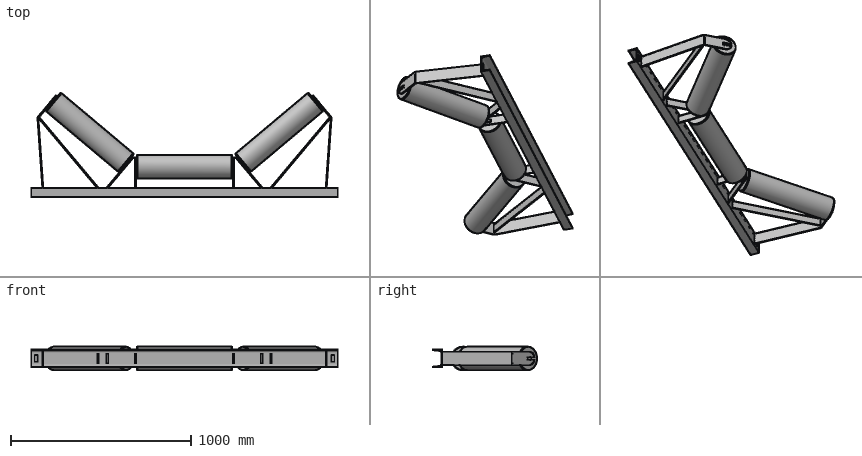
import cadquery as cq
import math

CHANNEL_LENGTH = 1700.0
CHANNEL_HEIGHT = 100.0
CHANNEL_DEPTH = 51.0
WEB_THICKNESS = 5.0
FLANGE_TOE = 5.0
FLANGE_ROOT = 10.0
ROOT_RADIUS = 8.0
MOUNT_SLOT_WIDTH = 15.0
MOUNT_SLOT_HEIGHT = 35.0
MOUNT_SLOT_INSET = 29.0

ROLLER_DIAMETER = 133.0
ROLLER_LENGTH = 530.0
RIM_TAPER_LENGTH = 7.0
RIM_TAPER_DEPTH = 2.5
SHAFT_DIAMETER = 25.0
SHAFT_FLAT_WIDTH = 15.0
END_GAP = 3.0
TROUGH_ANGLE = 40.0
CENTRE_ROLLER_Y = 168.0
WING_ROLLER_X = 525.0
WING_ROLLER_Y = 359.0

BAR_THICKNESS = 7.0
OUTER_BRACKET_WIDTH = 75.0
INNER_BRACKET_WIDTH = 51.0
BEND_RADIUS = 20.0
BEND_BELOW_SHAFT = 124.0
OUTER_FOOT_X = 789.0
INNER_TOP_Y = 221.0
BRACE_WIDTH = 51.0
BRACE_FOOT_X = 476.0

PLATE_FACE = ROLLER_LENGTH / 2 + END_GAP
SHAFT_END = PLATE_FACE + BAR_THICKNESS

tilt = math.radians(TROUGH_ANGLE)
wing_centre = cq.Vector(-WING_ROLLER_X, WING_ROLLER_Y)
along_axis = cq.Vector(math.cos(tilt), -math.sin(tilt))
up_plate = cq.Vector(math.sin(tilt), math.cos(tilt))

web_face = (cq.Vector(0, CHANNEL_DEPTH), cq.Vector(1, 0))
plate_outside = (wing_centre - along_axis * SHAFT_END, up_plate)
bend_point = plate_outside[0] - up_plate * BEND_BELOW_SHAFT


def crossing(line_a, line_b):
    """Point where two lines in XY meet; each line is a (point, direction) pair."""
    (start, a), (other, b) = line_a, line_b
    gap = other - start
    return start + a * ((gap.x * b.y - gap.y * b.x) / (a.x * b.y - a.y * b.x))


def corners(lines):
    """Points where each line of a list meets the next one."""
    return [crossing(a, b) for a, b in zip(lines, lines[1:])]


def bar_solid(start_cut, faces, end_cut, width):
    """Flat bar, bent where its face lines cross and trimmed by a line at each end.

    The face lines are (point, direction) pairs; the thickness lies to the right of each direction.
    """
    backs = [
        (point + cq.Vector(d.y, -d.x).normalized() * BAR_THICKNESS, d)
        for point, d in faces
    ]
    front_points = corners([start_cut, *faces, end_cut])
    back_points = corners([start_cut, *backs, end_cut])
    outline = [p.toTuple()[:2] for p in front_points + back_points[::-1]]
    return cq.Workplane("XY").polyline(outline).close().extrude(width / 2, both=True)


def place_on_wing(body):
    """Move a body from the roller's own frame, axis along X, to the -X wing roller."""
    return body.rotate((0, 0, 0), (0, 0, 1), -TROUGH_ANGLE).translate(wing_centre)


def place_in_centre(body):
    """Move a body from the roller's own frame to the centre roller."""
    return body.translate((0, CENTRE_ROLLER_Y, 0))


def mirrored(body):
    """Copy of a -X body for the +X side."""
    return body.mirror("YZ")


def make_channel():
    """Taper-flange channel with an upright mounting slot near each end of the web."""
    half = CHANNEL_HEIGHT / 2
    web_inside = CHANNEL_DEPTH - WEB_THICKNESS
    outline = [
        (0, half),
        (CHANNEL_DEPTH, half),
        (CHANNEL_DEPTH, -half),
        (0, -half),
        (0, -half + FLANGE_TOE),
        (web_inside, -half + FLANGE_ROOT),
        (web_inside, half - FLANGE_ROOT),
        (0, half - FLANGE_TOE),
    ]
    channel = cq.Workplane("YZ").polyline(outline).close().extrude(CHANNEL_LENGTH / 2, both=True)
    root_corners = cq.selectors.BoxSelector(
        (-CHANNEL_LENGTH, web_inside / 2, -half + FLANGE_TOE),
        (CHANNEL_LENGTH, CHANNEL_DEPTH, half - FLANGE_TOE),
    )
    channel = channel.edges("|X").edges(root_corners).fillet(ROOT_RADIUS)
    slot_x = CHANNEL_LENGTH / 2 - MOUNT_SLOT_INSET
    slots = (
        cq.Workplane("XZ")
        .pushPoints([(-slot_x, 0), (slot_x, 0)])
        .rect(MOUNT_SLOT_WIDTH, MOUNT_SLOT_HEIGHT)
        .extrude(-CHANNEL_DEPTH)
    )
    return channel.cut(slots)


def make_roller():
    """Drum with a shaft stub at each end, flattened where it sits in the bracket plates."""
    radius = ROLLER_DIAMETER / 2
    half_length = ROLLER_LENGTH / 2
    shaft_radius = SHAFT_DIAMETER / 2
    half_outline = [
        (PLATE_FACE, 0),
        (PLATE_FACE, -shaft_radius),
        (half_length, -shaft_radius),
        (half_length, -radius + RIM_TAPER_DEPTH),
        (half_length - RIM_TAPER_LENGTH, -radius),
    ]
    outline = half_outline + [(-x, y) for x, y in half_outline[::-1]]
    turned = cq.Workplane("XY").polyline(outline).close().revolve(360, (0, 0), (1, 0))
    flat_shaft = (
        cq.Workplane("YZ")
        .circle(shaft_radius)
        .extrude(SHAFT_END, both=True)
        .intersect(cq.Workplane("XY").box(2 * SHAFT_END, SHAFT_DIAMETER, SHAFT_FLAT_WIDTH))
    )
    return turned.union(flat_shaft)


def shaft_slot(side):
    """Cutter for the open slot that takes a shaft flat, at the -X (-1) or +X (+1) roller end."""
    slot_length = OUTER_BRACKET_WIDTH
    plate_middle = side * (PLATE_FACE + BAR_THICKNESS / 2)
    slot_middle = (slot_length - SHAFT_DIAMETER) / 2
    slot = cq.Workplane("XY").box(BAR_THICKNESS, slot_length, SHAFT_FLAT_WIDTH)
    return slot.translate((plate_middle, slot_middle, 0))


def round_end_waste():
    """What is left of a square plate end once its half-round end is taken out."""
    radius = OUTER_BRACKET_WIDTH / 2
    square = cq.Workplane("YZ").center(radius / 2, 0).rect(radius, 2 * radius).extrude(BAR_THICKNESS)
    half_round = cq.Workplane("YZ").circle(radius).extrude(BAR_THICKNESS)
    return square.cut(half_round).translate((-SHAFT_END, 0, 0))


def make_outer_bracket():
    """Leg from the web to a bend, then a round-ended plate holding the outer shaft end."""
    leg_foot = cq.Vector(-OUTER_FOOT_X, CHANNEL_DEPTH)
    leg = (leg_foot, bend_point - leg_foot)
    plate_end = (plate_outside[0] + up_plate * (OUTER_BRACKET_WIDTH / 2), along_axis)
    bracket = bar_solid(web_face, [leg, plate_outside], plate_end, OUTER_BRACKET_WIDTH)
    bracket = bracket.edges("|Z and <X").fillet(BEND_RADIUS)
    return bracket.cut(place_on_wing(round_end_waste())).cut(place_on_wing(shaft_slot(-1)))


def make_inner_bracket():
    """Sloping plate for the wing roller, level top, and upright plate for the centre roller."""
    plate = (wing_centre + along_axis * PLATE_FACE, up_plate)
    top = (cq.Vector(0, INNER_TOP_Y), cq.Vector(1, 0))
    upright = (cq.Vector(-PLATE_FACE, 0), cq.Vector(0, -1))
    bracket = bar_solid(web_face, [plate, top, upright], web_face, INNER_BRACKET_WIDTH)
    return bracket.cut(place_on_wing(shaft_slot(1))).cut(place_in_centre(shaft_slot(-1)))


def make_brace(bracket):
    """Straight bar from the web to the inside of the outer bracket's bend."""
    foot = cq.Vector(-BRACE_FOOT_X, CHANNEL_DEPTH)
    down_slope = cq.Vector(up_plate.x, -up_plate.y)
    inside_bar = (bend_point + along_axis * (BAR_THICKNESS / 2), up_plate)
    brace = bar_solid(web_face, [(foot, down_slope)], inside_bar, BRACE_WIDTH)
    return brace.cut(bracket)


channel = make_channel()
roller = make_roller()
centre_roller = place_in_centre(roller)
wing_roller = place_on_wing(roller)
outer_bracket = make_outer_bracket()
inner_bracket = make_inner_bracket()
brace = make_brace(outer_bracket)

bodies = [channel.val(), centre_roller.val()]
for body in (wing_roller, outer_bracket, inner_bracket, brace):
    bodies += [body.val(), mirrored(body).val()]

result = cq.Compound.makeCompound(bodies)